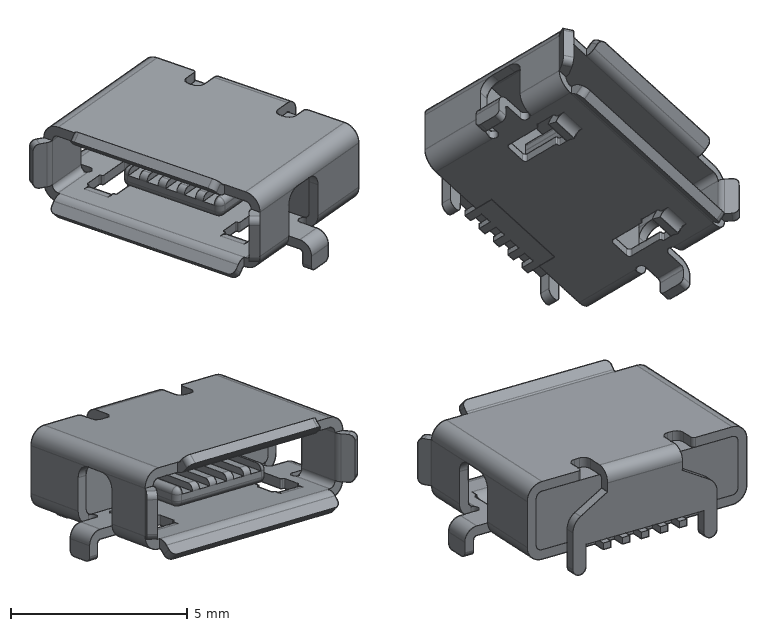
import cadquery as cq
import math


SHEET = 0.3
SHELL_WIDTH = 7.5
SHELL_HEIGHT = 2.45
SHELL_LENGTH = 4.9
CORNER_RADIUS = 0.5
INNER_CORNER_RADIUS = CORNER_RADIUS - SHEET
BEND_RADIUS = 0.1
CEILING = SHELL_HEIGHT - SHEET
FLAT_WALL_HEIGHT = SHELL_HEIGHT - 2 * CORNER_RADIUS
INNER_FLAT_HALF = SHELL_WIDTH / 2 - CORNER_RADIUS

LIP_CORNER = 0.2
FLAT_LIP_ANGLE = 45
FLAT_LIP_STRAIGHT = 0.35
TOP_LIP_WIDTH = 5.03
BOTTOM_LIP_WIDTH = 6.39
SIDE_LIP_ANGLE = 35
SIDE_LIP_BEND_RADIUS = 0.03
SIDE_LIP_STRAIGHT = 0.415

LEG_DEPTH = 0.605
LEG_SPAN = 8.65
LEG_WIDTH = 0.84
LEG_CENTER_Y = 2.145
LEG_TIP_CORNER = 0.165
RELIEF_WIDTH = 0.3
RELIEF_CENTER_X = 3.36
WINDOW_WIDTH = LEG_WIDTH + 2 * RELIEF_WIDTH
WINDOW_TOP = SHELL_HEIGHT - CORNER_RADIUS
WINDOW_CORNER = 0.43

NECK_WIDTH = 2.56
FLAP_WIDTH = 4.92
FLAP_SHOULDER_TOP = 1.765
SHOULDER_SLOPE = 30
SHOULDER_RADIUS = 0.52
FLAP_BOTTOM = SHEET
FOOT_WIDTH = 0.45
NOTCH_WIDTH = 0.61
NOTCH_DEPTH = 0.7
NOTCH_CORNER = 0.225
NOTCH_MOUTH_RADIUS = 0.1

LATCH_CENTER_X = 2.36
LATCH_WIDTH = 0.82
LATCH_START_Y = 0.61
LATCH_BEND_RADIUS = 0.29
LATCH_ANGLE = 71
LATCH_STRAIGHT = 0.02
LATCH_OPENING_END_Y = 2.7
LATCH_OPENING_CORNER = 0.1
LATCH_RELIEF = 0.1
LATCH_RELIEF_START_Y = 0.88
LATCH_RELIEF_END_Y = 1.54
LATCH_STEP_RADIUS = 0.048

HOUSING_FRONT_Y = LEG_CENTER_Y + WINDOW_WIDTH / 2
TONGUE_WIDTH = 3.43
TONGUE_HEIGHT = 0.6
TONGUE_BOTTOM = 0.6
TONGUE_FRONT_Y = 0.96
TONGUE_ROUND = 0.2
CONTACT_COUNT = 5
CONTACT_PITCH = 0.65
GROOVE_WIDTH = 0.38
TAIL_WIDTH = 0.26
TAIL_TOP = 0.19
TAIL_BOTTOM = -0.02
BASE_DEPTH = 0.57
BASE_WIDTH = (CONTACT_COUNT - 1) * CONTACT_PITCH + TAIL_WIDTH

FLAP_INNER_Y = SHELL_LENGTH + BEND_RADIUS
FLAP_OUTER_Y = FLAP_INNER_Y + SHEET
CONTACT_XS = [(i - (CONTACT_COUNT - 1) / 2) * CONTACT_PITCH for i in range(CONTACT_COUNT)]


def box(x0, x1, y0, y1, z0, z1):
    """Box between two opposite corners."""
    return cq.Workplane("XY").box(x1 - x0, y1 - y0, z1 - z0, centered=False).translate((x0, y0, z0))


def bent_strip(width, bend_radius, angle, straight):
    """Strip that leaves the origin along -Y and bends up toward +Z, its bent-in face at Z = 0."""
    a = math.radians(angle)
    half = a / 2
    outer_radius = bend_radius + SHEET

    def on_arc(radius, turn):
        return (-radius * math.sin(turn), bend_radius - radius * math.cos(turn))

    def past_bend(radius):
        y, z = on_arc(radius, a)
        return (y - straight * math.cos(a), z + straight * math.sin(a))

    return (
        cq.Workplane("YZ")
        .moveTo(0, 0)
        .threePointArc(on_arc(bend_radius, half), on_arc(bend_radius, a))
        .lineTo(*past_bend(bend_radius))
        .lineTo(*past_bend(outer_radius))
        .lineTo(*on_arc(outer_radius, a))
        .threePointArc(on_arc(outer_radius, half), (0, -SHEET))
        .close()
        .extrude(width / 2, both=True)
    )


def round_tip(strip, angle, radius):
    """Round the two corners at the free end of a strip bent by `angle`."""
    a = math.radians(angle)
    thickness_direction = cq.Vector(0, math.sin(a), math.cos(a))
    return strip.edges(cq.selectors.ParallelDirSelector(thickness_direction)).fillet(radius)


def down_bent_strip(width, bend_radius, angle, straight):
    """Strip that leaves the origin along +Y and bends down toward -Z, its bent-in face at Z = 0."""
    return bent_strip(width, bend_radius, angle, straight).rotate((0, 0, 0), (1, 0, 0), 180)


def shell_profile(inset, radius, y0, y1):
    """Rounded-rectangle bar along Y, set in from the outside of the shell."""
    return (
        cq.Workplane("XZ", origin=(0, y0, SHELL_HEIGHT / 2))
        .rect(SHELL_WIDTH - 2 * inset, SHELL_HEIGHT - 2 * inset)
        .extrude(y0 - y1)
        .edges("|Y")
        .fillet(radius)
    )


def mouth_lips():
    """Four lips flaring outward from the mouth: top, bottom and both sides."""
    lips = []
    for width, roll in ((TOP_LIP_WIDTH, 0), (BOTTOM_LIP_WIDTH, 180)):
        lip = bent_strip(width, BEND_RADIUS, FLAT_LIP_ANGLE, FLAT_LIP_STRAIGHT)
        lip = round_tip(lip, FLAT_LIP_ANGLE, LIP_CORNER).translate((0, 0, SHELL_HEIGHT / 2))
        lips.append(lip.rotate((0, 0, 0), (0, 1, 0), roll))
    for roll in (-90, 90):
        lip = bent_strip(FLAT_WALL_HEIGHT, SIDE_LIP_BEND_RADIUS, SIDE_LIP_ANGLE, SIDE_LIP_STRAIGHT)
        lip = round_tip(lip, SIDE_LIP_ANGLE, LIP_CORNER).translate((0, 0, SHELL_WIDTH / 2))
        lips.append(lip.rotate((0, 0, 0), (0, 1, 0), roll))
    return [lip.translate((0, 0, SHELL_HEIGHT / 2)) for lip in lips]


def side_window():
    """Cutter for the +X window: through the wall and its lower bend, round-cornered at the top."""
    y0 = LEG_CENTER_Y - WINDOW_WIDTH / 2
    cutter = box(INNER_FLAT_HALF, LEG_SPAN, y0, y0 + WINDOW_WIDTH, -SHEET, WINDOW_TOP)
    return cutter.edges("|X and >Z").fillet(WINDOW_CORNER)


def leg():
    """The +X mounting leg, with a root as wide as the window."""
    bend_x = LEG_SPAN / 2 - SHEET - BEND_RADIUS
    root = (
        box(INNER_FLAT_HALF, RELIEF_CENTER_X, -WINDOW_WIDTH / 2, WINDOW_WIDTH / 2, 0, SHEET)
        .union(box(INNER_FLAT_HALF, bend_x, -LEG_WIDTH / 2, LEG_WIDTH / 2, 0, SHEET))
    )
    foot = bent_strip(LEG_WIDTH, BEND_RADIUS, 90, LEG_DEPTH - BEND_RADIUS)
    foot = round_tip(foot, 90, LEG_TIP_CORNER)
    foot = foot.rotate((0, 0, 0), (1, 0, 0), 180).rotate((0, 0, 0), (0, 0, 1), -90)
    return root.union(foot.translate((bend_x, 0, 0))).translate((0, LEG_CENTER_Y, 0))


def leg_reliefs():
    """Cutter for the round ends of the two relief slits beside the +X leg."""
    offset = (LEG_WIDTH + RELIEF_WIDTH) / 2
    return (
        cq.Workplane("XY")
        .pushPoints([(RELIEF_CENTER_X, LEG_CENTER_Y + side * offset) for side in (-1, 1)])
        .circle(RELIEF_WIDTH / 2)
        .extrude(SHEET)
    )


def rear_notch():
    """Cutter for the +X notch beside the neck of the rear flap."""
    x0 = NECK_WIDTH / 2
    x1 = x0 + NOTCH_WIDTH
    y0 = SHELL_LENGTH - NOTCH_DEPTH
    slot = box(x0, x1, y0, SHELL_LENGTH, CEILING, SHELL_HEIGHT).edges("|Z and <Y").fillet(NOTCH_CORNER)
    r = NOTCH_MOUTH_RADIUS
    mouth = (
        box(x1, x1 + r, SHELL_LENGTH - r, SHELL_LENGTH, CEILING, SHELL_HEIGHT)
        .cut(cq.Workplane("XY").center(x1 + r, SHELL_LENGTH - r).circle(r).extrude(SHELL_HEIGHT))
    )
    return slot.union(mouth)


def rear_flap():
    """Flap folded down behind the shell: neck, sloping shoulders and two round-ended feet."""
    half = FLAP_WIDTH / 2
    slope = math.radians(SHOULDER_SLOPE)
    turn = math.pi / 2 - slope
    round_x = half - SHOULDER_RADIUS

    round_start_x = round_x + SHOULDER_RADIUS * math.cos(turn)
    round_start_z = FLAP_SHOULDER_TOP - (round_start_x - NECK_WIDTH / 2) * math.tan(slope)
    round_z = round_start_z - SHOULDER_RADIUS * math.sin(turn)
    round_mid = (
        round_x + SHOULDER_RADIUS * math.cos(turn / 2),
        round_z + SHOULDER_RADIUS * math.sin(turn / 2),
    )
    foot_radius = FOOT_WIDTH / 2
    foot_z = foot_radius - LEG_DEPTH
    half_plate = (
        cq.Workplane("XZ", origin=(0, FLAP_OUTER_Y, 0))
        .moveTo(0, FLAP_SHOULDER_TOP)
        .lineTo(NECK_WIDTH / 2, FLAP_SHOULDER_TOP)
        .lineTo(round_start_x, round_start_z)
        .threePointArc(round_mid, (half, round_z))
        .lineTo(half, foot_z)
        .threePointArc((half - foot_radius, -LEG_DEPTH), (half - FOOT_WIDTH, foot_z))
        .lineTo(half - FOOT_WIDTH, FLAP_BOTTOM)
        .lineTo(0, FLAP_BOTTOM)
        .close()
        .extrude(SHEET)
    )
    plate = half_plate.union(half_plate.mirror("YZ"))
    neck_length = CEILING - BEND_RADIUS - FLAP_SHOULDER_TOP
    neck = down_bent_strip(NECK_WIDTH, BEND_RADIUS, 90, neck_length)
    return plate.union(neck.translate((0, SHELL_LENGTH, CEILING)))


def latch_opening():
    """Cutter for the +X latch opening: as wide as the tab, wider around the tab's tip."""
    half = LATCH_WIDTH / 2
    x0 = LATCH_CENTER_X - half
    x1 = LATCH_CENTER_X + half
    slot = (
        box(x0, x1, LATCH_START_Y, LATCH_OPENING_END_Y, 0, SHEET)
        .edges("|Z and >Y")
        .fillet(LATCH_OPENING_CORNER)
    )
    relief = box(
        x0 - LATCH_RELIEF, x1 + LATCH_RELIEF, LATCH_RELIEF_START_Y, LATCH_RELIEF_END_Y, 0, SHEET
    )
    around_steps = cq.selectors.BoxSelector(
        (x0 - 2 * LATCH_RELIEF, LATCH_RELIEF_START_Y - LATCH_RELIEF, -SHEET),
        (x1 + 2 * LATCH_RELIEF, LATCH_RELIEF_END_Y + LATCH_RELIEF, 2 * SHEET),
    )
    return slot.union(relief).edges("|Z").edges(around_steps).fillet(LATCH_STEP_RADIUS)


def latch_tab():
    """The +X latch tab, bent down from the front edge of its opening."""
    tab = down_bent_strip(LATCH_WIDTH, LATCH_BEND_RADIUS, LATCH_ANGLE, LATCH_STRAIGHT)
    return tab.translate((LATCH_CENTER_X, LATCH_START_Y, 0))


def housing_base():
    """Block under the rear of the housing that fills the cut-out in the shell floor."""
    y0 = SHELL_LENGTH - BASE_DEPTH
    return box(-BASE_WIDTH / 2, BASE_WIDTH / 2, y0, SHELL_LENGTH, TAIL_BOTTOM, SHEET)


def make_shell():
    shell = shell_profile(0, CORNER_RADIUS, 0, SHELL_LENGTH)
    shell = shell.cut(shell_profile(SHEET, INNER_CORNER_RADIUS, 0, SHELL_LENGTH))
    for cutter in (side_window(), rear_notch(), latch_opening()):
        shell = shell.cut(cutter).cut(cutter.mirror("YZ"))
    for addition in (leg(), latch_tab()):
        shell = shell.union(addition).union(addition.mirror("YZ"))
    shell = shell.cut(leg_reliefs()).cut(leg_reliefs().mirror("YZ"))
    shell = shell.cut(housing_base())
    for lip in mouth_lips():
        shell = shell.union(lip)
    return shell.union(rear_flap())


def tongue():
    """Tongue with rounded front and side edges and one open groove in its top per contact."""
    top = TONGUE_BOTTOM + TONGUE_HEIGHT
    half = TONGUE_WIDTH / 2
    blade = (
        box(-half, half, TONGUE_FRONT_Y, HOUSING_FRONT_Y, TONGUE_BOTTOM, top)
        .edges("|Y or <Y")
        .fillet(TONGUE_ROUND)
    )
    for x in CONTACT_XS:
        x0 = x - GROOVE_WIDTH / 2
        groove = box(x0, x0 + GROOVE_WIDTH, TONGUE_FRONT_Y, HOUSING_FRONT_Y, top - TONGUE_ROUND, top)
        blade = blade.cut(groove)
    return blade


def make_housing():
    housing = shell_profile(SHEET, INNER_CORNER_RADIUS, HOUSING_FRONT_Y, SHELL_LENGTH)
    housing = housing.union(housing_base()).union(tongue())
    for x in CONTACT_XS:
        tail = box(
            x - TAIL_WIDTH / 2, x + TAIL_WIDTH / 2,
            SHELL_LENGTH, FLAP_OUTER_Y, TAIL_BOTTOM, TAIL_TOP,
        )
        housing = housing.union(tail)
    return housing


shell = make_shell()
housing = make_housing()

result = cq.Compound.makeCompound([shell.solids().val(), housing.solids().val()])